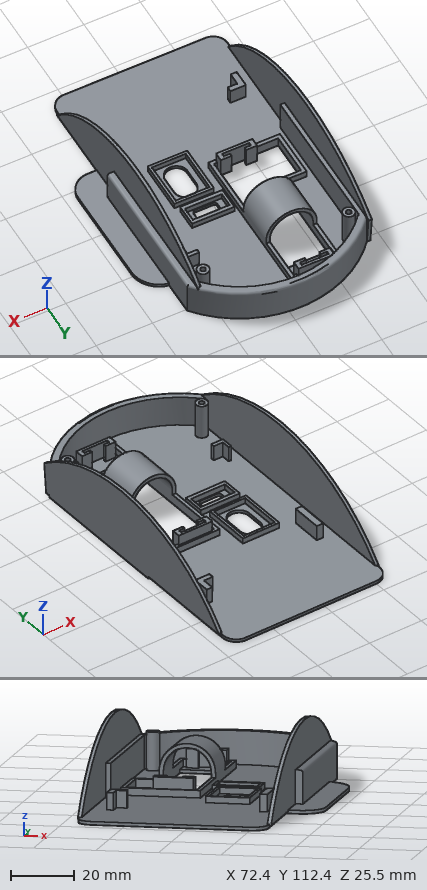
import cadquery as cq
import math

LENGTH = 112.4
BODY_WIDTH = 61.8
PLATE = 1.1
WALL = 1.2
PLATE_INSET = WALL / 2
PLATE_CORNER_RADIUS = 5.1

SHELL_WIDTH = 64.2
SHELL_FRONT_Y = 44.0
SHELL_CORNER_Y = 96.9
SHELL_WALL = 2.8
SHELL_TOP_Z = 11.9
SHELL_EDGE_RADIUS = 1.0
ARC_CENTER_X = SHELL_WIDTH / 2
ARC_RISE = LENGTH - SHELL_CORNER_Y
ARC_RADIUS = (ARC_CENTER_X**2 + ARC_RISE**2) / (2 * ARC_RISE)
ARC_CENTER_Y = LENGTH - ARC_RADIUS

DOME_TOP_Z = 25.5
DOME_RADIUS = 67.4
DOME_CENTER_Y = 58.5
SIDE_BOTTOM_Z = 0.7
SIDE_REAR_BOTTOM_Y = 98.6
SIDE_REAR_TOP_Y = 99.6

TAB_RIGHT_X = 72.4
TAB_FRONT_Y = 32.6
TAB_REAR_Y = 85.1
TAB_FRONT_RADIUS = 7.3
TAB_REAR_RADIUS = 9.8

BAY_WALL = 1.3
BAY_TOP_Z = 3.5
BAY_LEFT_X = 12.6
BAY_RIGHT_X = 30.6
BAY_FRONT_Y = 48.2
BAY_REAR_Y = 103.5
BAY_WIDE_LEFT_X = 5.2
BAY_WIDE_REAR_Y = 66.0
BAY_OPENING_REAR_Y = 96.8

ARCH_FRONT_Y = 71.5
ARCH_REAR_Y = 86.5
ARCH_TOP_Z = 14.0

CLIP_LEFT_X = 15.3
CLIP_RIGHT_X = 28.2
CLIP_DEPTH = 3.1
CLIP_PLATE = 1.0
CLIP_SIDE = 1.7
CLIP_LIP = 3.8
CLIP_TOP_Z = 7.2
CLIP_FRONT_Y = 48.9

FRAME_TOP_Z = 3.1
SMALL_WINDOW_CENTER = (39.5, 64.1)
SMALL_RIM = (15.1, 8.0)
SMALL_RECESS = (13.0, 5.2)
SMALL_OPENING = (8.4, 4.4)
SMALL_OPENING_RADIUS = 1.0
LARGE_WINDOW_CENTER = (40.9, 49.2)
LARGE_RIM = (14.0, 17.8)
LARGE_RECESS = (12.0, 15.7)
LARGE_OPENING = (7.9, 13.6)
LARGE_OPENING_RADIUS = 3.8

BOSS_DIAMETER = 4.2
BOSS_HOLE_DIAMETER = 1.8
BOSS_TOP_Z = 13.4
BOSS_CENTERS = [(5.7, 94.8), (57.2, 94.4)]

RIB_TOP_Z = 6.6
FRONT_RIB_CORNER = (6.2, 27.6)
FRONT_RIB_X = 5.5
FRONT_RIB_Y = 6.2
FRONT_RIB_THICK_X = 2.1
FRONT_RIB_THICK_Y = 1.8
REAR_RIB_CORNER = (56.6, 82.4)
REAR_RIB_X = 4.5
REAR_RIB_Y = 4.5
REAR_RIB_THICK_X = 1.0
REAR_RIB_THICK_Y = 1.3
STRAIGHT_RIB_CENTER = (54.8, 33.8)
STRAIGHT_RIB_SIZE = (2.5, 11.2)


def block(x0, x1, y0, y1, z0, z1):
    """Axis-aligned box given by its limits."""
    return cq.Workplane("XY").box(x1 - x0, y1 - y0, z1 - z0, centered=False).translate((x0, y0, z0))


def arched_outline(x0, x1, y_front, arc_radius, height):
    """Rectangle closed at the back by an arc around the shell's arc centre."""
    def arc_y(x):
        return ARC_CENTER_Y + math.sqrt(arc_radius**2 - (x - ARC_CENTER_X)**2)

    return (
        cq.Workplane("XY")
        .moveTo(x0, y_front)
        .lineTo(x0, arc_y(x0))
        .threePointArc((ARC_CENTER_X, ARC_CENTER_Y + arc_radius), (x1, arc_y(x1)))
        .lineTo(x1, y_front)
        .close()
        .extrude(height)
    )


def base_plate():
    front = (
        block(PLATE_INSET, BODY_WIDTH - PLATE_INSET, 0, SHELL_CORNER_Y, 0, PLATE)
        .edges("|Z and <Y")
        .fillet(PLATE_CORNER_RADIUS)
    )
    rear = arched_outline(0, SHELL_WIDTH, SHELL_FRONT_Y, ARC_RADIUS, PLATE)
    return front.union(rear)


def rear_shell():
    outer = arched_outline(0, SHELL_WIDTH, SHELL_FRONT_Y, ARC_RADIUS, SHELL_TOP_Z)
    outer = outer.faces(">Z").edges("not <Y").fillet(SHELL_EDGE_RADIUS)
    cavity = arched_outline(
        SHELL_WALL, BODY_WIDTH - WALL, SHELL_FRONT_Y, ARC_RADIUS - SHELL_WALL, SHELL_TOP_Z
    )
    return outer.cut(cavity)


def side_wall(x_left):
    """Upright wall whose top edge is a circular arc along Y."""
    center_z = DOME_TOP_Z - DOME_RADIUS
    front_y = DOME_CENTER_Y - math.sqrt(DOME_RADIUS**2 - (SIDE_BOTTOM_Z - center_z)**2)
    rear_z = center_z + math.sqrt(DOME_RADIUS**2 - (SIDE_REAR_TOP_Y - DOME_CENTER_Y)**2)
    return (
        cq.Workplane("YZ", origin=(x_left, 0, 0))
        .moveTo(front_y, SIDE_BOTTOM_Z)
        .threePointArc((DOME_CENTER_Y, DOME_TOP_Z), (SIDE_REAR_TOP_Y, rear_z))
        .lineTo(SIDE_REAR_BOTTOM_Y, SIDE_BOTTOM_Z)
        .close()
        .extrude(WALL)
    )


def side_tab():
    tab = block(TAB_RIGHT_X - 2 * TAB_REAR_RADIUS, TAB_RIGHT_X, TAB_FRONT_Y, TAB_REAR_Y, 0, PLATE)
    tab = tab.edges("|Z and >X and <Y").fillet(TAB_FRONT_RADIUS)
    return tab.edges("|Z and >X and >Y").fillet(TAB_REAR_RADIUS)


def bay_prism(inset, z1, rear_y):
    """Stepped bay footprint, shrunk by inset, from Z = 0 up to z1."""
    narrow = block(
        BAY_LEFT_X + inset, BAY_RIGHT_X - inset, BAY_FRONT_Y + inset, rear_y, 0, z1
    )
    wide = block(
        BAY_WIDE_LEFT_X + inset, BAY_RIGHT_X - inset,
        BAY_FRONT_Y + inset, BAY_WIDE_REAR_Y - inset, 0, z1,
    )
    return narrow.union(wide)


def bay_arch():
    """Battery strap: a half tube on short upright legs."""
    outer_radius = (BAY_RIGHT_X - BAY_LEFT_X) / 2
    center_x = BAY_LEFT_X + outer_radius
    center_z = ARCH_TOP_Z - outer_radius

    def tunnel(radius):
        return (
            cq.Workplane("XZ", origin=(center_x, ARCH_REAR_Y, 0))
            .moveTo(-radius, PLATE)
            .lineTo(-radius, center_z)
            .threePointArc((0, center_z + radius), (radius, center_z))
            .lineTo(radius, PLATE)
            .close()
            .extrude(ARCH_REAR_Y - ARCH_FRONT_Y)
        )

    return tunnel(outer_radius).cut(tunnel(outer_radius - BAY_WALL))


def clip_block(y_back, direction, side_inset, depth0, depth1, z0):
    """Box spanning the clip width less side_inset, between two depths measured from the clip's back."""
    y0, y1 = sorted((y_back + direction * depth0, y_back + direction * depth1))
    return block(CLIP_LEFT_X + side_inset, CLIP_RIGHT_X - side_inset, y0, y1, z0, CLIP_TOP_Z)


def add_contact_clip(body, y_back, direction):
    """Add a C-shaped clip opening along Y; its slot also clears the bay rim down to the plate top."""
    solid = clip_block(y_back, direction, 0, 0, CLIP_DEPTH, 0)
    slot = clip_block(y_back, direction, CLIP_SIDE, CLIP_PLATE, CLIP_DEPTH - CLIP_PLATE, 0)
    mouth = clip_block(y_back, direction, CLIP_LIP, CLIP_PLATE, CLIP_DEPTH, 0)
    rim_slot = clip_block(y_back, direction, CLIP_SIDE, CLIP_PLATE, CLIP_DEPTH - CLIP_PLATE, PLATE)
    return body.cut(rim_slot).union(solid.cut(slot).cut(mouth))


def centered_block(center, size, z0, z1):
    """Box centred on an XY point."""
    x, y = center
    half_x, half_y = size[0] / 2, size[1] / 2
    return block(x - half_x, x + half_x, y - half_y, y + half_y, z0, z1)


def add_framed_window(body, center, rim_size, recess_size, opening_size, corner_radius):
    """Add a low rim around a rounded opening through the plate."""
    rim = centered_block(center, rim_size, 0, FRAME_TOP_Z)
    recess = centered_block(center, recess_size, PLATE, FRAME_TOP_Z)
    opening = centered_block(center, opening_size, 0, PLATE).edges("|Z").fillet(corner_radius)
    return body.union(rim).cut(recess).cut(opening)


def corner_rib(corner, side, length_x, length_y, thick_x, thick_y):
    """L-shaped rib from its outer rear corner; side is +1 or -1, the way its rear arm runs along X."""
    x, y = corner

    def arm(size_x, size_y):
        x0, x1 = sorted((x, x + side * size_x))
        return block(x0, x1, y - size_y, y, 0, RIB_TOP_Z)

    return arm(length_x, thick_y).union(arm(thick_x, length_y))


result = base_plate().union(rear_shell()).union(side_tab())
for wall_x in (0, BODY_WIDTH - WALL):
    result = result.union(side_wall(wall_x))

result = result.union(
    bay_prism(0, BAY_TOP_Z, BAY_REAR_Y).cut(
        bay_prism(BAY_WALL, BAY_TOP_Z, BAY_REAR_Y - BAY_WALL)
    )
)
result = result.cut(bay_prism(BAY_WALL, PLATE, BAY_OPENING_REAR_Y))
result = result.union(bay_arch())
result = add_contact_clip(result, CLIP_FRONT_Y, 1)
result = add_contact_clip(result, BAY_REAR_Y, -1)

result = add_framed_window(
    result, SMALL_WINDOW_CENTER, SMALL_RIM, SMALL_RECESS, SMALL_OPENING, SMALL_OPENING_RADIUS
)
result = add_framed_window(
    result, LARGE_WINDOW_CENTER, LARGE_RIM, LARGE_RECESS, LARGE_OPENING, LARGE_OPENING_RADIUS
)

for center in BOSS_CENTERS:
    boss = (
        cq.Workplane("XY", origin=(0, 0, PLATE))
        .center(*center)
        .circle(BOSS_DIAMETER / 2)
        .circle(BOSS_HOLE_DIAMETER / 2)
        .extrude(BOSS_TOP_Z - PLATE)
    )
    result = result.union(boss)

result = result.union(
    corner_rib(FRONT_RIB_CORNER, 1, FRONT_RIB_X, FRONT_RIB_Y, FRONT_RIB_THICK_X, FRONT_RIB_THICK_Y)
)
result = result.union(
    corner_rib(REAR_RIB_CORNER, -1, REAR_RIB_X, REAR_RIB_Y, REAR_RIB_THICK_X, REAR_RIB_THICK_Y)
)
result = result.union(centered_block(STRAIGHT_RIB_CENTER, STRAIGHT_RIB_SIZE, 0, RIB_TOP_Z))